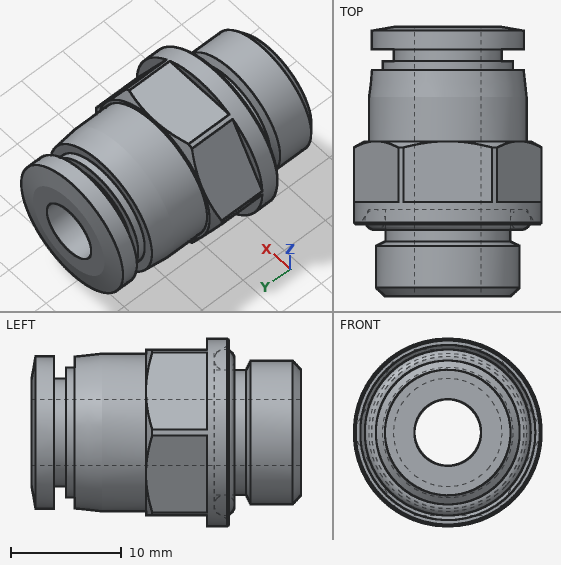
import cadquery as cq
import math

LENGTH = 24.4
BORE_RADIUS = 3.0

THREAD_RADIUS = 6.51
THREAD_TIP_RADIUS = 5.69
THREAD_TIP_CHAMFER = 0.78
THREAD_SHOULDER_Y = 4.56
NECK_RADIUS = 5.65
NECK_START_Y = 4.98

FLANGE_DIAMETER = 17.0
FLANGE_RADIUS = FLANGE_DIAMETER / 2
FLANGE_RIM_Y = 6.51
FLANGE_BEVEL = 0.17
FLANGE_TOP_Y = 8.52

SEAL_FRONT_Y = 6.0
SEAL_SECTION_RADIUS = 0.93
SEAL_RADIUS = NECK_RADIUS + SEAL_SECTION_RADIUS
SEAL_CENTER_Y = SEAL_FRONT_Y + SEAL_SECTION_RADIUS

RECESS_RIM_RADIUS = 7.93
RECESS_WALL_ANGLE = 30.0
RECESS_FLOOR_Y = SEAL_CENTER_Y + SEAL_SECTION_RADIUS
RECESS_TAPER = (RECESS_FLOOR_Y - FLANGE_RIM_Y) * math.tan(math.radians(RECESS_WALL_ANGLE))
RECESS_FLOOR_RADIUS = RECESS_RIM_RADIUS - RECESS_TAPER

HEX_ACROSS_FLATS = 14.98
HEX_TOP_Y = 14.03
HEX_CHAMFER_HEIGHT = 0.55

SLEEVE_RADIUS = 7.15
SLEEVE_TAPER_Y = 18.0
SLEEVE_TOP_Y = 20.5
SLEEVE_TOP_RADIUS = 6.88
STEP_RADIUS = 5.9
STEP_TOP_Y = 21.28

COLLAR_NECK_RADIUS = 4.9
COLLAR_RADIUS = 6.9
COLLAR_START_Y = 22.35
COLLAR_BEVEL_Y = 24.03
COLLAR_FACE_RADIUS = 4.83


def make_turned_body():
    """Revolve the whole fitting, except the hexagon's flats, about the Y axis."""
    profile = (
        cq.Workplane("XY")
        .moveTo(BORE_RADIUS, 0)
        .lineTo(THREAD_TIP_RADIUS, 0)
        .lineTo(THREAD_RADIUS, THREAD_TIP_CHAMFER)
        .lineTo(THREAD_RADIUS, THREAD_SHOULDER_Y)
        .lineTo(NECK_RADIUS, NECK_START_Y)
        .lineTo(NECK_RADIUS, RECESS_FLOOR_Y)
        .lineTo(RECESS_FLOOR_RADIUS, RECESS_FLOOR_Y)
        .lineTo(RECESS_RIM_RADIUS, FLANGE_RIM_Y)
        .lineTo(FLANGE_RADIUS - FLANGE_BEVEL, FLANGE_RIM_Y)
        .lineTo(FLANGE_RADIUS, FLANGE_RIM_Y + FLANGE_BEVEL)
        .lineTo(FLANGE_RADIUS, HEX_TOP_Y - HEX_CHAMFER_HEIGHT)
        .lineTo(HEX_ACROSS_FLATS / 2, HEX_TOP_Y)
        .lineTo(SLEEVE_RADIUS, HEX_TOP_Y)
        .lineTo(SLEEVE_RADIUS, SLEEVE_TAPER_Y)
        .lineTo(SLEEVE_TOP_RADIUS, SLEEVE_TOP_Y)
        .lineTo(STEP_RADIUS, SLEEVE_TOP_Y)
        .lineTo(STEP_RADIUS, STEP_TOP_Y)
        .lineTo(COLLAR_NECK_RADIUS, STEP_TOP_Y)
        .lineTo(COLLAR_NECK_RADIUS, COLLAR_START_Y)
        .lineTo(COLLAR_RADIUS, COLLAR_START_Y)
        .lineTo(COLLAR_RADIUS, COLLAR_BEVEL_Y)
        .lineTo(COLLAR_FACE_RADIUS, LENGTH)
        .lineTo(BORE_RADIUS, LENGTH)
        .close()
    )
    return profile.revolve(360, (0, 0, 0), (0, 1, 0))


def make_hex_cutter():
    """Ring whose hexagonal hole leaves the flats, two of them facing +Z and -Z."""
    corner_diameter = HEX_ACROSS_FLATS / math.cos(math.radians(30))
    return (
        cq.Workplane("XZ", origin=(0, FLANGE_TOP_Y, 0))
        .circle(2 * FLANGE_RADIUS)
        .polygon(6, corner_diameter)
        .extrude(FLANGE_TOP_Y - HEX_TOP_Y)
    )


def make_fitting():
    return make_turned_body().cut(make_hex_cutter())


def make_seal_ring():
    return (
        cq.Workplane("XY")
        .center(SEAL_RADIUS, SEAL_CENTER_Y)
        .circle(SEAL_SECTION_RADIUS)
        .revolve(360, (-SEAL_RADIUS, 0, 0), (-SEAL_RADIUS, 1, 0))
    )


fitting = make_fitting()
seal_ring = make_seal_ring()

result = cq.Compound.makeCompound([fitting.val(), seal_ring.val()])